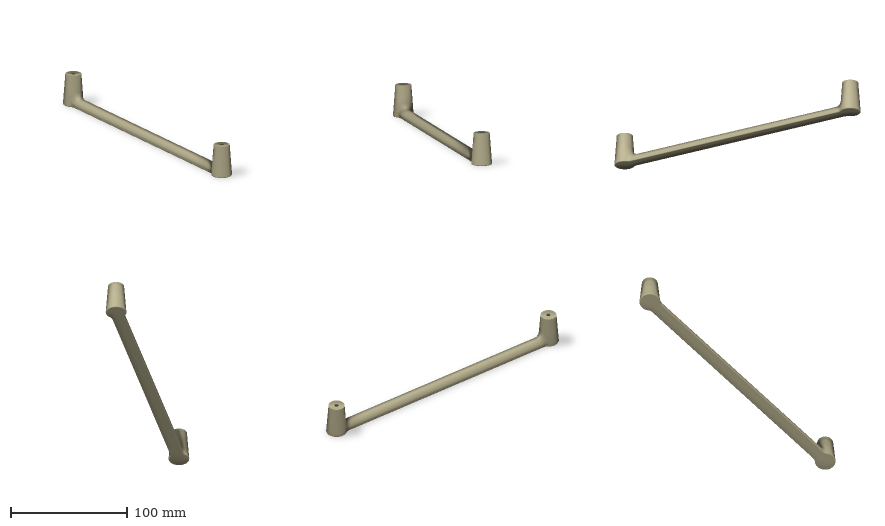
import cadquery as cq
import math

length = 242.8
height = 27.7

post_base_diameter = 18.0
post_top_diameter = 13.8
hole_diameter = 4.0
hole_depth = 14.5

bar_width = 11.2
bar_side_height = 3.2
bar_height = 7.5

blend_radius = 5.8
base_rounding = 0.7

draft_angle = math.atan((post_base_diameter - post_top_diameter) / 2 / height)
base_inset = base_rounding * (1 / math.tan(math.pi / 4 - draft_angle / 2) - 1)
post_x = length / 2 - post_base_diameter / 2 + base_inset


def make_post(x):
    """Solid cone frustum standing on the XY plane."""
    return (
        cq.Workplane("XZ")
        .lineTo(post_base_diameter / 2, 0)
        .lineTo(post_top_diameter / 2, height)
        .lineTo(0, height)
        .close()
        .revolve(360, (0, 0, 0), (0, 1, 0))
        .translate((x, 0, 0))
    )


def make_bar():
    """Arched bar running between the two post axes."""
    half_width = bar_width / 2
    return (
        cq.Workplane("YZ", origin=(-post_x, 0, 0))
        .moveTo(-half_width, 0)
        .lineTo(half_width, 0)
        .lineTo(half_width, bar_side_height)
        .threePointArc((0, bar_height), (-half_width, bar_side_height))
        .close()
        .extrude(2 * post_x)
    )


def junction_edges(body, x):
    """Edges where the bar runs into the inner side of one post, above the bottom face."""
    reach = post_base_diameter / 2
    margin = 0.2
    inner_x = x - reach if x > 0 else x + margin
    return body.edges(
        cq.selectors.BoxSelector(
            (inner_x, -bar_width, margin),
            (inner_x + reach - margin, bar_width, bar_height + margin),
            boundingbox=False,
        )
    )


handle = make_bar()
for side in (-1, 1):
    handle = handle.union(make_post(side * post_x))

for side in (-1, 1):
    handle = junction_edges(handle, side * post_x).fillet(blend_radius)
handle = handle.faces("<Z").edges().fillet(base_rounding)

result = (
    handle.faces(">Z")
    .workplane(origin=(0, 0, height))
    .pushPoints([(-post_x, 0), (post_x, 0)])
    .hole(hole_diameter, hole_depth)
)